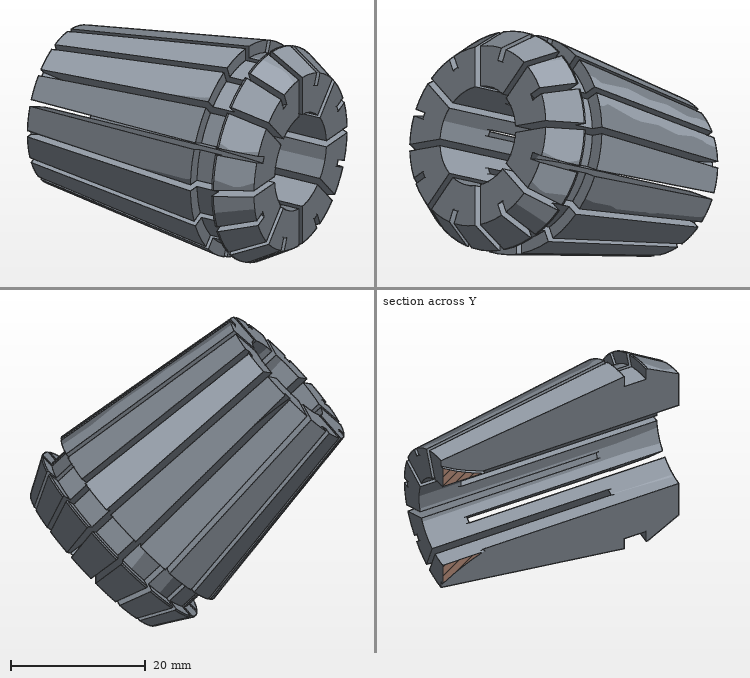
import cadquery as cq
import math

length = 40.0
max_diameter = 33.0
bore_diameter = 15.0
taper_length = 30.8
taper_angle = 8.0
groove_width = 3.7
groove_radius = 14.6
rim_width = 0.3
rear_radius = 13.5

slots_per_end = 8
slot_width = 1.0

rear_slot_end = 7.1
rear_slot_floor = 11.1
rear_cutter_radius = 30.0

front_slot_end = 29.6
front_slot_floor = 11.6
front_cutter_radius = 40.0

max_radius = max_diameter / 2
bore_radius = bore_diameter / 2
groove_end = taper_length + groove_width
rim_end = groove_end + rim_width
front_radius = max_radius - taper_length * math.tan(math.radians(taper_angle))
blade_height = max_diameter
slot_pitch = 360.0 / slots_per_end


def collet_body():
    """Tapered sleeve with a nut groove and a tapered head."""
    profile = [
        (0, bore_radius),
        (0, front_radius),
        (taper_length, max_radius),
        (taper_length, groove_radius),
        (groove_end, groove_radius),
        (groove_end, max_radius),
        (rim_end, max_radius),
        (length, rear_radius),
        (length, bore_radius),
    ]
    return cq.Workplane("XY").polyline(profile).close().revolve(360, (0, 0, 0), (1, 0, 0))


def slot_blade(open_end, inner_end, floor_radius, cutter_radius):
    """Blade in the XZ plane: through the wall from open_end to inner_end, then its floor
    rises along an arc from the bore to floor_radius at the opposite end face."""
    far_end = length - open_end
    run = far_end - inner_end
    rise = floor_radius - bore_radius
    chord = math.hypot(run, rise)
    sag = cutter_radius - math.sqrt(cutter_radius**2 - (chord / 2) ** 2)
    arc_middle = (
        inner_end + run / 2 + math.copysign(sag * rise / chord, run),
        bore_radius + rise / 2 - sag * abs(run) / chord,
    )
    outline = (
        cq.Workplane("XZ")
        .moveTo(open_end, 0)
        .lineTo(inner_end, 0)
        .lineTo(inner_end, bore_radius)
        .threePointArc(arc_middle, (far_end, floor_radius))
        .lineTo(far_end, blade_height)
        .lineTo(open_end, blade_height)
        .close()
    )
    return outline.extrude(slot_width / 2, both=True)


def cut_slot_ring(body, blade, first_angle):
    """Cut one set of evenly spaced slots around the X axis."""
    for index in range(slots_per_end):
        angle = first_angle + index * slot_pitch
        body = body.cut(blade.rotate((0, 0, 0), (1, 0, 0), angle))
    return body


rear_blade = slot_blade(length, rear_slot_end, rear_slot_floor, rear_cutter_radius)
front_blade = slot_blade(0, front_slot_end, front_slot_floor, front_cutter_radius)

result = collet_body()
result = cut_slot_ring(result, rear_blade, 0)
result = cut_slot_ring(result, front_blade, slot_pitch / 2)